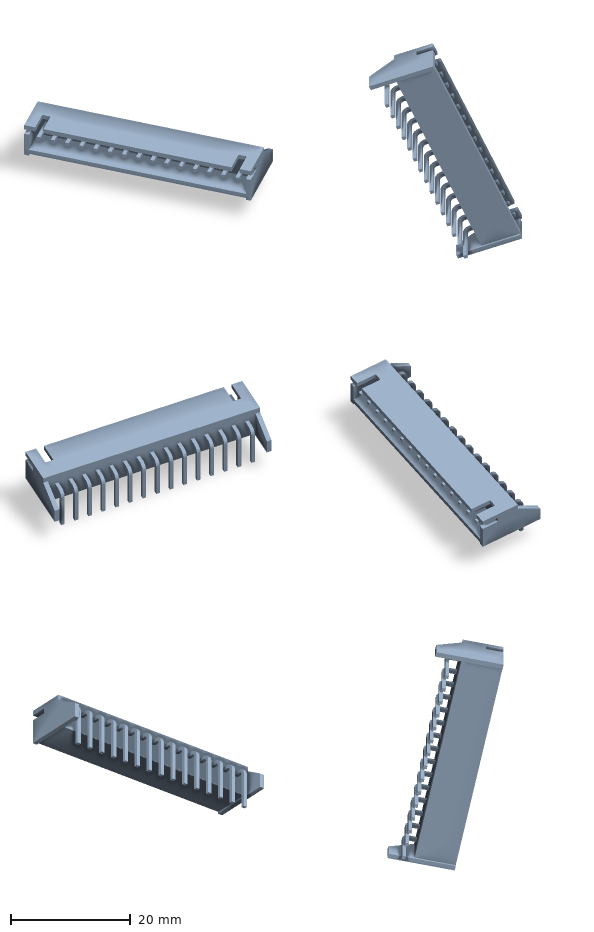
import cadquery as cq

length = 39.9
depth = 11.5
height = 6.15
shroud_depth = 7.0
wall = 0.85
foot = 0.38
cavity_depth = 4.7

wing_step = 1.0
wing_back_height = 2.57

roof_slot_width = 1.45
roof_slot_depth = 3.7
roof_slot_offset = 1.95
side_slot_height = 0.95
side_slot_depth = 3.0

pin_count = 15
pin_pitch = 2.5
pin_size = 0.64
pin_front = 0.2
pin_axis_drop = 2.36
pin_leg_back = 9.52
pin_bottom = -3.4
pin_bend_radius = 1.24

half_length = length / 2
roof_underside = height - wall
pin_axis_height = height - pin_axis_drop


def block(x_min, x_max, y_min, y_max, z_min, z_max):
    """Box given by its limits along each axis."""
    size = (x_max - x_min, y_max - y_min, z_max - z_min)
    return cq.Workplane("XY").box(*size, centered=False).translate((x_min, y_min, z_min))


def make_end_wall(x_min):
    """Full-depth end wall whose rear part slopes down to the back."""
    profile = [
        (0, 0),
        (depth, 0),
        (depth, wing_back_height),
        (shroud_depth, height - wing_step),
        (shroud_depth, height),
        (0, height),
    ]
    return cq.Workplane("YZ").polyline(profile).close().extrude(wall).translate((x_min, 0, 0))


def make_shroud():
    """Long box between the end walls, hollow and open to the front."""
    outer = block(-half_length, half_length, 0, shroud_depth, foot, height)
    inner_half = half_length - wall
    cavity = block(-inner_half, inner_half, 0, cavity_depth, foot + wall, roof_underside)
    return outer.cut(cavity)


def make_roof_slot(x_min):
    """Cutter for a slot through the roof."""
    return block(x_min, x_min + roof_slot_width, 0, roof_slot_depth, roof_underside, height)


def make_side_slots():
    """Cutter for the slots under the roof through both end walls."""
    slot_bottom = roof_underside - side_slot_height
    return block(-half_length, half_length, 0, side_slot_depth, slot_bottom, roof_underside)


def make_pin(x_center):
    """Right-angle pin with a rounded bend."""
    pin_top = pin_axis_height + pin_size / 2
    leg_front = pin_leg_back - pin_size
    pin_underside = pin_top - pin_size
    horizontal = block(0, pin_size, pin_front, pin_leg_back, pin_underside, pin_top)
    leg = block(0, pin_size, leg_front, pin_leg_back, pin_bottom, pin_top)
    pin = horizontal.union(leg)
    outer_corner = (pin_size / 2, pin_leg_back, pin_top)
    inner_corner = (pin_size / 2, leg_front, pin_underside)
    inner_radius = pin_bend_radius - pin_size
    pin = pin.edges(cq.selectors.NearestToPointSelector(outer_corner)).fillet(pin_bend_radius)
    pin = pin.edges(cq.selectors.NearestToPointSelector(inner_corner)).fillet(inner_radius)
    return pin.translate((x_center - pin_size / 2, 0, 0))


result = make_shroud()
for wall_x in (-half_length, half_length - wall):
    result = result.union(make_end_wall(wall_x))

right_slot_x = half_length - roof_slot_offset - roof_slot_width
for slot_x in (-half_length + roof_slot_offset, right_slot_x):
    result = result.cut(make_roof_slot(slot_x))
result = result.cut(make_side_slots())

first_pin_x = -pin_pitch * (pin_count - 1) / 2
for index in range(pin_count):
    result = result.union(make_pin(first_pin_x + index * pin_pitch))